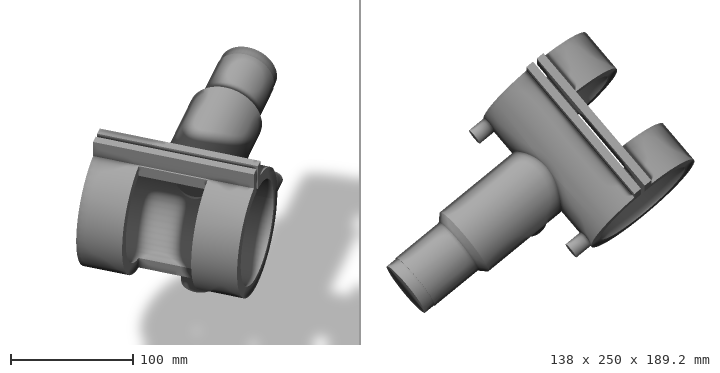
import cadquery as cq

ring_length = 138.0
ring_outer_diameter = 110.0
ring_wall = 10.0
ring_outer_radius = ring_outer_diameter / 2
ring_inner_radius = ring_outer_radius - ring_wall

slit_width = 4.0
ear_thickness = 7.0
ear_top = 69.2
ears_width = slit_width + 2 * ear_thickness

window_length = 59.2
window_edge_y = -10.0

branch_diameter = 62.5
neck_diameter = 50.5
branch_end_y = 133.0
neck_end_y = 185.0
taper_length = (branch_diameter - neck_diameter) / 2

plug_head_diameter = 49.2
plug_head_thickness = 10.0
plug_shank_diameter = 30.0

outlet_diameter = 32.0
outlet_center_y = 65.0
outlet_bottom = -120.0

terminal_diameter = 14.0
terminal_offset = 61.8
terminal_end_y = 70.5


def cylinder_along_y(diameter, start_y, end_y, center_x=0):
    """Solid cylinder on the plane Z = 0 between two Y positions."""
    return cq.Workplane(
        cq.Solid.makeCylinder(
            diameter / 2,
            end_y - start_y,
            cq.Vector(center_x, start_y, 0),
            cq.Vector(0, 1, 0),
        )
    )


def cylinder_along_x(radius):
    """Cylinder on the ring axis, as long as the ring."""
    return cq.Workplane("YZ", origin=(-ring_length / 2, 0, 0)).circle(radius).extrude(ring_length)


def make_ears():
    """Block above the ring axis that the slit divides into two ears."""
    return cq.Workplane("XY").rect(ring_length, ears_width).extrude(ear_top)


def make_slit():
    return cq.Workplane("XY").rect(ring_length, slit_width).extrude(ear_top)


def make_window():
    depth = ring_outer_radius + window_edge_y
    center_y = window_edge_y - depth / 2
    return cq.Workplane("XY").box(window_length, depth, ring_outer_diameter).translate((0, center_y, 0))


def make_branch():
    """Branch, taper and neck, revolved about the Y axis."""
    return (
        cq.Workplane("XY")
        .moveTo(0, 0)
        .lineTo(branch_diameter / 2, 0)
        .lineTo(branch_diameter / 2, branch_end_y)
        .lineTo(neck_diameter / 2, branch_end_y + taper_length)
        .lineTo(neck_diameter / 2, neck_end_y)
        .lineTo(0, neck_end_y)
        .close()
        .revolve(360, (0, 0, 0), (0, 1, 0))
    )


def make_outlet():
    return (
        cq.Workplane("XY")
        .center(0, outlet_center_y)
        .circle(outlet_diameter / 2)
        .extrude(outlet_bottom)
    )


def make_housing():
    housing = cylinder_along_x(ring_outer_radius)
    housing = housing.union(make_ears()).union(make_branch()).union(make_outlet())
    for side in (-1, 1):
        terminal = cylinder_along_y(terminal_diameter, ring_inner_radius, terminal_end_y, side * terminal_offset)
        housing = housing.union(terminal)
    housing = housing.cut(cylinder_along_x(ring_inner_radius))
    housing = housing.cut(make_slit()).cut(make_window())
    plug_bore = cylinder_along_y(plug_shank_diameter, 0, neck_end_y)
    return housing.cut(plug_bore)


def make_plug():
    shank = cylinder_along_y(plug_shank_diameter, ring_inner_radius, neck_end_y)
    head = cylinder_along_y(plug_head_diameter, neck_end_y, neck_end_y + plug_head_thickness)
    return head.union(shank)


housing = make_housing()
plug = make_plug()

result = cq.Compound.makeCompound([housing.solids().val(), plug.solids().val()])